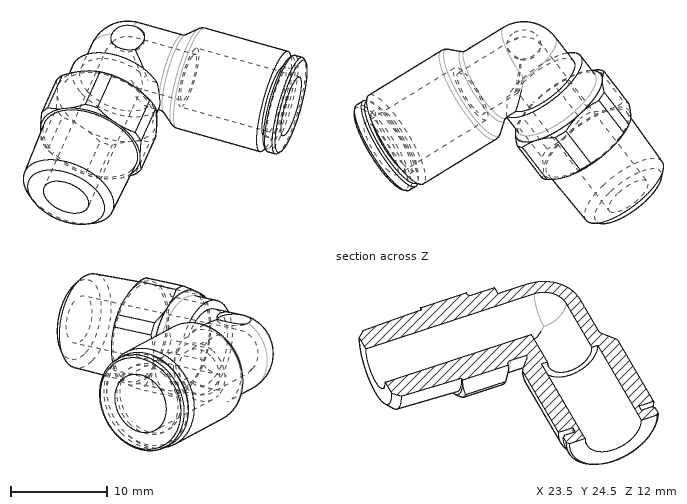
import cadquery as cq

elbow_radius = 4.1
bore_radius = 5.0 / 2

disc_radius = 3.5 / 2
disc_floor_height = 3.7

stud_length = 19.1
collar_start = 3.4
hex_start = 6.4
hex_end = 11.6
collar_radius = 10.0 / 2
collar_flare = 0.42
hex_across_flats = 10.98
hex_corner_diameter = 12.0
hex_flat_nick = 0.02
hex_chamfer_radius = hex_across_flats / 2 + hex_flat_nick
hex_chamfer_depth = 0.32
thread_base_radius = 10.45 / 2
thread_tip_radius = 10.0 / 2
thread_chamfer = 0.75

cone_start = 5.1
cone_end = 6.72
cone_blend_radius = 0.69
socket_end = 16.13
socket_radius = 10.85 / 2
neck_radius = 7.55 / 2
ring_start = 16.7
ring_end = 18.02
ring_radius = 10.45 / 2
ring_chamfer = 0.25
tube_hole_radius = 6.35 / 2
tube_hole_bottom = cone_end


def rod_along_x(radius, start, end):
    return cq.Workplane("YZ").workplane(offset=start).circle(radius).extrude(end - start)


def rod_along_stud(radius, start, end):
    return cq.Workplane("XZ").workplane(offset=start).circle(radius).extrude(end - start)


def turned_about_stud(points):
    """Turn a closed outline of (radius, distance along the stud) points about the stud axis."""
    outline = [(radius, -distance) for radius, distance in points]
    return cq.Workplane("XY").polyline(outline).close().revolve(360, (0, 0, 0), (0, 1, 0))


def make_elbow():
    ball = cq.Workplane("XY").sphere(elbow_radius)
    stud_arm = rod_along_stud(elbow_radius, 0, collar_start)
    socket_arm = rod_along_x(elbow_radius, 0, cone_start / 2)
    return ball.union(stud_arm).union(socket_arm)


def make_collar():
    flare_start = hex_start - collar_flare
    return (
        cq.Workplane("XY")
        .moveTo(0, -collar_start)
        .lineTo(collar_radius, -collar_start)
        .lineTo(collar_radius, -flare_start)
        .radiusArc((collar_radius + collar_flare, -hex_start), -collar_flare)
        .lineTo(0, -hex_start)
        .close()
        .revolve(360, (0, 0, 0), (0, 1, 0))
    )


def make_hex():
    """Hexagon with flats facing +X and -X, corners rounded off and both ends chamfered."""
    prism = (
        cq.Workplane("XZ")
        .workplane(offset=hex_start)
        .polygon(6, hex_across_flats, circumscribed=True)
        .extrude(hex_end - hex_start)
    )
    corner_radius = hex_corner_diameter / 2
    envelope = turned_about_stud([
        (0, hex_start),
        (hex_chamfer_radius, hex_start),
        (corner_radius, hex_start + hex_chamfer_depth),
        (corner_radius, hex_end - hex_chamfer_depth),
        (hex_chamfer_radius, hex_end),
        (0, hex_end),
    ])
    return prism.intersect(envelope)


def make_thread():
    """Plain taper standing in for the pipe thread, with a lead-in chamfer."""
    return turned_about_stud([
        (0, hex_end),
        (thread_base_radius, hex_end),
        (thread_tip_radius, stud_length - thread_chamfer),
        (thread_tip_radius - thread_chamfer, stud_length),
        (0, stud_length),
    ])


def make_socket():
    body = (
        cq.Workplane("XY")
        .polyline([
            (0, 0),
            (0, elbow_radius),
            (cone_start, elbow_radius),
            (cone_end, socket_radius),
            (socket_end, socket_radius),
            (socket_end, 0),
        ])
        .close()
        .revolve(360, (0, 0, 0), (1, 0, 0))
    )
    margin = 0.25
    reach = socket_radius + margin
    cone_ends = cq.selectors.BoxSelector(
        (cone_start - margin, -reach, -reach),
        (cone_end + margin, reach, reach),
        boundingbox=True,
    )
    body = body.edges("%CIRCLE").edges(cone_ends).fillet(cone_blend_radius)
    neck = rod_along_x(neck_radius, socket_end, ring_start)
    ring = rod_along_x(ring_radius, ring_start, ring_end).faces("<X or >X").chamfer(ring_chamfer)
    return body.union(neck).union(ring)


def make_passage():
    """Flow bore through both arms with a ball at the corner, opening into the tube hole."""
    ball = cq.Workplane("XY").sphere(bore_radius)
    stud_bore = rod_along_stud(bore_radius, 0, stud_length)
    socket_bore = rod_along_x(bore_radius, 0, ring_end)
    tube_hole = rod_along_x(tube_hole_radius, tube_hole_bottom, ring_end)
    return ball.union(stud_bore).union(socket_bore).union(tube_hole)


def make_disc_recess():
    return (
        cq.Workplane("XY")
        .workplane(offset=disc_floor_height)
        .circle(disc_radius)
        .extrude(elbow_radius)
    )


result = (
    make_elbow()
    .union(make_socket())
    .union(make_collar())
    .union(make_hex())
    .union(make_thread())
    .cut(make_passage())
    .cut(make_disc_recess())
)